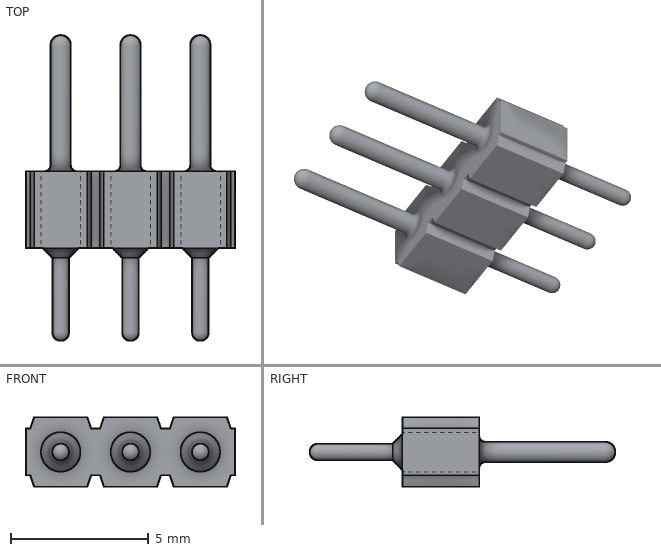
import cadquery as cq
import math

pin_count = 3
pitch = 2.54
housing_depth = 2.8
housing_height = 2.54
housing_length = pin_count * pitch
front_face_y = -housing_depth / 2
back_face_y = housing_depth / 2

notch_depth = 0.415
notch_floor_width = 0.32
notch_mouth_width = 0.6

barrel_radius = 0.72
shoulder_round = 0.2
thin_radius = 0.305
thin_length = 3.38
thick_radius = 0.375
thick_length = 4.95
root_fillet = 0.2

pin_positions = [(i - (pin_count - 1) / 2) * pitch for i in range(pin_count)]
notch_positions = [(i - pin_count / 2) * pitch for i in range(pin_count + 1)]


def make_notch(x, side):
    """Tapered groove along Y, cut into the top (side = 1) or bottom (side = -1)."""
    mouth_z = side * housing_height / 2
    floor_z = side * (housing_height / 2 - notch_depth)
    return (
        cq.Workplane("XZ", origin=(0, back_face_y, 0))
        .moveTo(x - notch_mouth_width / 2, mouth_z)
        .lineTo(x - notch_floor_width / 2, floor_z)
        .lineTo(x + notch_floor_width / 2, floor_z)
        .lineTo(x + notch_mouth_width / 2, mouth_z)
        .close()
        .extrude(housing_depth)
    )


def make_housing():
    """Notched bar with one through bore per pin."""
    body = cq.Workplane("XY").box(housing_length, housing_depth, housing_height)
    for x in notch_positions:
        for side in (1, -1):
            body = body.cut(make_notch(x, side))
    for x in pin_positions:
        bore = (
            cq.Workplane("XZ", origin=(x, back_face_y, 0))
            .circle(barrel_radius)
            .extrude(housing_depth)
        )
        body = body.cut(bore)
    return body


def make_pin(x):
    """Turned pin: its half profile (radius, y) revolved about the Y direction at x."""
    diagonal = math.sqrt(0.5)

    shoulder_radius = barrel_radius - shoulder_round * (1 - diagonal)
    barrel_front_y = front_face_y + shoulder_round * diagonal
    shoulder_mid_angle = math.radians(22.5)
    shoulder_mid = (
        barrel_radius - shoulder_round * (1 - math.cos(shoulder_mid_angle)),
        barrel_front_y - shoulder_round * math.sin(shoulder_mid_angle),
    )
    cone_end_y = front_face_y - (shoulder_radius - thin_radius)

    thin_tip_y = front_face_y - thin_length
    thin_dome_y = thin_tip_y + thin_radius
    thin_dome_mid = (thin_radius * diagonal, thin_dome_y - thin_radius * diagonal)
    thick_tip_y = back_face_y + thick_length
    thick_dome_y = thick_tip_y - thick_radius
    thick_dome_mid = (thick_radius * diagonal, thick_dome_y + thick_radius * diagonal)

    root_radius = thick_radius + root_fillet
    root_end_y = back_face_y + root_fillet
    root_mid = (root_radius - root_fillet * diagonal, root_end_y - root_fillet * diagonal)

    return (
        cq.Workplane("XY", origin=(x, 0, 0))
        .moveTo(0, thin_tip_y)
        .threePointArc(thin_dome_mid, (thin_radius, thin_dome_y))
        .lineTo(thin_radius, cone_end_y)
        .lineTo(shoulder_radius, front_face_y)
        .threePointArc(shoulder_mid, (barrel_radius, barrel_front_y))
        .lineTo(barrel_radius, back_face_y)
        .lineTo(root_radius, back_face_y)
        .threePointArc(root_mid, (thick_radius, root_end_y))
        .lineTo(thick_radius, thick_dome_y)
        .threePointArc(thick_dome_mid, (0, thick_tip_y))
        .close()
        .revolve(360, (0, 0, 0), (0, 1, 0))
    )


housing = make_housing()
pins = [make_pin(x) for x in pin_positions]

result = cq.Compound.makeCompound([housing.val(), *[pin.val() for pin in pins]])